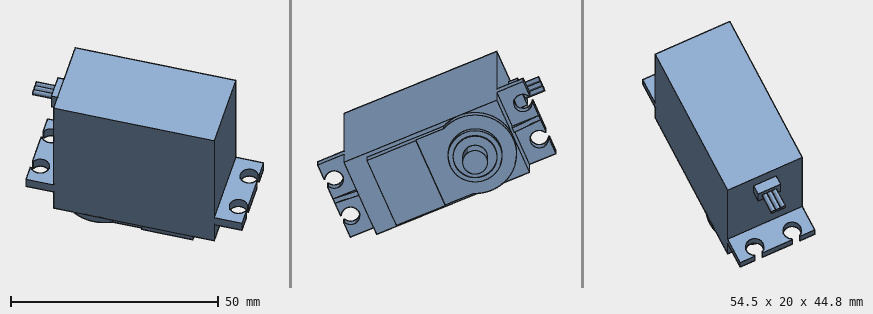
import cadquery as cq

case_length = 40.1
case_width = 20.0
case_height = 36.85
case_end = case_length / 2

ear_span = 53.95
ear_bottom = 5.95
ear_thickness = 2.6
hole_diameter = 4.4
hole_x = 24.75
hole_y = 5.0
slot_width = 1.95
rib_width = 1.2
rib_depth = 1.4

cover_depth = 1.95
cover_width = 18.0
cover_end = 14.45
step_start = 1.65
step_depth = 2.45

output_stages = [(13.0, 1.45), (10.6, 0.5), (6.0, 4.05)]
output_x = -(case_length - case_width) / 2

outlet_length = 2.45
outlet_width = 6.05
outlet_height = 4.0
outlet_z = case_height - 6.05
wire_count = 3
wire_diameter = 1.25
wire_pitch = 1.3
wire_length = 5.0


def box_between(x_start, x_end, width, z_bottom, z_top):
    """Box centred on Y, spanning the given X and Z ranges."""
    return (
        cq.Workplane("XY", origin=((x_start + x_end) / 2, 0, z_bottom))
        .box(x_end - x_start, width, z_top - z_bottom, centered=(True, True, False))
    )


def disc_below(diameter, z_top, height):
    """Disc on the output axis, hanging down from z_top."""
    return cq.Workplane("XY", origin=(output_x, 0, z_top)).circle(diameter / 2).extrude(-height)


def make_ears():
    """Flat bar through the case with edge-open screw holes at both ends."""
    ear_end = ear_span / 2
    bar = box_between(-ear_end, ear_end, case_width, ear_bottom, ear_bottom + ear_thickness)
    hole_centres = [(sx * hole_x, sy * hole_y) for sx in (-1, 1) for sy in (-1, 1)]
    holes = (
        cq.Workplane("XY", origin=(0, 0, ear_bottom))
        .pushPoints(hole_centres)
        .circle(hole_diameter / 2)
        .extrude(ear_thickness)
    )
    slot_length = hole_diameter
    slot_centres = [(x + (slot_length / 2 if x > 0 else -slot_length / 2), y) for x, y in hole_centres]
    slots = (
        cq.Workplane("XY", origin=(0, 0, ear_bottom))
        .pushPoints(slot_centres)
        .rect(slot_length, slot_width)
        .extrude(ear_thickness)
    )
    return bar.cut(holes).cut(slots)


def make_ribs():
    """Web under both ears, deepest at the case and tapering to nothing at the ear ends."""
    outline = [
        (-ear_span / 2, ear_bottom),
        (-case_end, ear_bottom - rib_depth),
        (case_end, ear_bottom - rib_depth),
        (ear_span / 2, ear_bottom),
    ]
    return cq.Workplane("XZ").polyline(outline).close().extrude(rib_width / 2, both=True)


def make_gear_cover():
    """Round cover around the output axis with a straight extension and a deeper step."""
    disc = disc_below(case_width, 0, cover_depth)
    extension = box_between(output_x, cover_end, cover_width, -cover_depth, 0)
    step = box_between(step_start, cover_end, cover_width, -step_depth, 0)
    return disc.union(extension).union(step)


def make_output():
    """Stepped bearing boss and shaft below the gear cover."""
    stages = cq.Workplane("XY")
    z_top = -cover_depth
    for diameter, height in output_stages:
        stages = stages.union(disc_below(diameter, z_top, height))
        z_top -= height
    return stages


def make_cable_outlet():
    """Rectangular outlet block on the -X face with a row of round wires."""
    outlet_face = -case_end - outlet_length
    outlet = box_between(
        outlet_face, -case_end, outlet_width, outlet_z - outlet_height / 2, outlet_z + outlet_height / 2
    )
    wires = (
        cq.Workplane("YZ", origin=(outlet_face, 0, outlet_z))
        .rarray(wire_pitch, 0.55, wire_count, 1)
        .circle(wire_diameter / 2)
        .extrude(-wire_length)
    )
    return outlet.union(wires)


case = box_between(-case_end, case_end, case_width, 0, case_height)
result = (
    case.union(make_ears())
    .union(make_ribs())
    .union(make_gear_cover())
    .union(make_output())
    .union(make_cable_outlet())
)